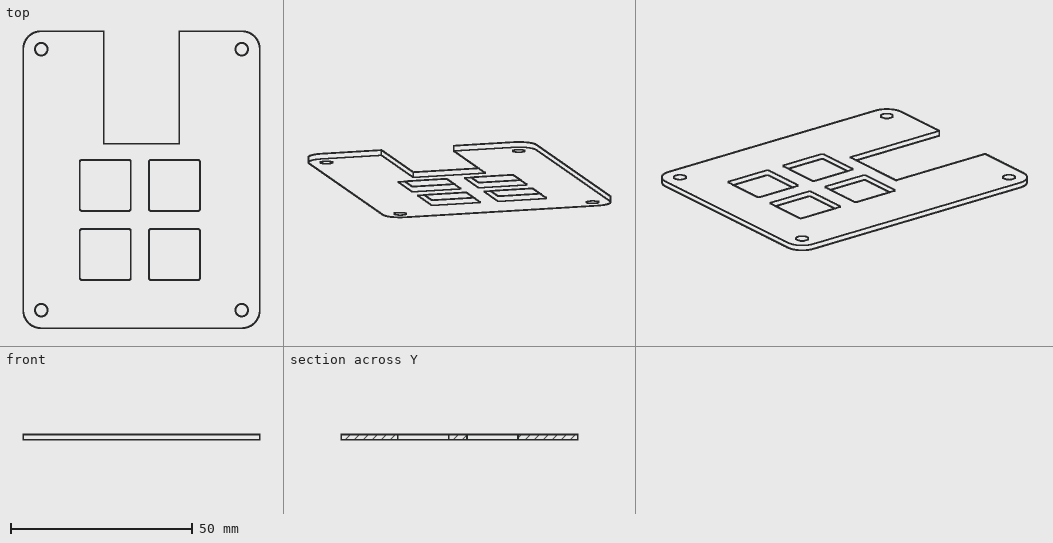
import cadquery as cq

PLATE_WIDTH = 65.24
PLATE_LENGTH = 81.91
PLATE_THICKNESS = 1.5
CORNER_RADIUS = 5.0

HOLE_DIAMETER = 3.4
HOLE_INSET = CORNER_RADIUS

NOTCH_WIDTH = 20.7
NOTCH_DEPTH = 31.0

WINDOW_SIZE = 14.0
WINDOW_PITCH = 19.05
WINDOW_CORNER_RADIUS = 0.5
WINDOWS_PER_SIDE = 2
GRID_CENTER_X = -0.45
GRID_CENTER_Y = -11.1


def make_plate():
    """Rounded rectangular plate centred on X and Y, with its underside at Z = 0."""
    plate = cq.Workplane("XY").rect(PLATE_WIDTH, PLATE_LENGTH).extrude(PLATE_THICKNESS)
    return plate.edges("|Z").fillet(CORNER_RADIUS)


def make_mounting_holes():
    """Four through holes, one near each corner."""
    spacing_x = PLATE_WIDTH - 2 * HOLE_INSET
    spacing_y = PLATE_LENGTH - 2 * HOLE_INSET
    corners = cq.Workplane("XY").rect(spacing_x, spacing_y, forConstruction=True).vertices()
    return corners.circle(HOLE_DIAMETER / 2).extrude(PLATE_THICKNESS)


def make_notch():
    """Rectangular notch running inward from the middle of the +Y edge."""
    center_y = PLATE_LENGTH / 2 - NOTCH_DEPTH / 2
    outline = cq.Workplane("XY").center(0, center_y).rect(NOTCH_WIDTH, NOTCH_DEPTH)
    return outline.extrude(PLATE_THICKNESS)


def make_windows():
    """Square windows with slightly rounded corners on an even grid."""
    grid = cq.Workplane("XY").center(GRID_CENTER_X, GRID_CENTER_Y)
    grid = grid.rarray(WINDOW_PITCH, WINDOW_PITCH, WINDOWS_PER_SIDE, WINDOWS_PER_SIDE)
    windows = grid.rect(WINDOW_SIZE, WINDOW_SIZE).extrude(PLATE_THICKNESS)
    return windows.edges("|Z").fillet(WINDOW_CORNER_RADIUS)


result = make_plate().cut(make_mounting_holes()).cut(make_notch()).cut(make_windows())